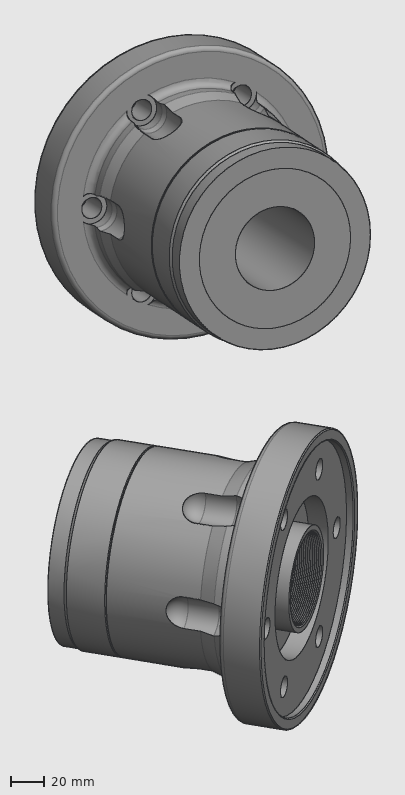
import cadquery as cq
import math

total_length = 145.5
cap_start = 108.2

flange_radius = 92.5
flange_thickness = 26.8
flange_front_chamfer = 0.7
flange_back_fillet = 3.0

recess_radius = 85.1
recess_depth = 5.0
recess_chamfer = 0.7

barrel_radius = 65.0
neck_radius = 67.7
neck_fillet = 5.0
neck_end = 38.3
neck_cone_end = 48.0
joint_chamfer = 0.5

bolt_count = 6
bolt_circle_radius = 66.6
bolt_hole_radius = 6.7
slot_entry_radius = 10.0
slot_radius = 11.1
slot_entry_end = 34.5
slot_taper_end = 38.8
slot_ball_center = 58.6

cap_nose_start = 135.0
cap_nose_radius = 63.8
cap_shoulder_length = 1.8

sleeve_radius = 50.5
sleeve_front = 2.0
sleeve_shoulder = 17.5
sleeve_neck_radius = 33.1
sleeve_bore_radius = 26.5

thread_minor_radius = 28.9
thread_major_radius = 30.0
thread_pitch = 1.18
thread_turns = 17
thread_end = sleeve_front + thread_pitch * thread_turns


def revolve_about_x(profile):
    """Turn a profile drawn as (x, radius) around the X axis."""
    return profile.close().revolve(360, (0, 0, 0), (1, 0, 0))


def disc(start, end, radius):
    """A cylinder on the X axis."""
    return cq.Workplane("YZ", origin=(start, 0, 0)).circle(radius).extrude(end - start)


def housing_blank():
    """Flange and barrel with the locating recess and the sleeve bore."""
    flange_setback = (1 - math.sqrt(0.5)) * flange_back_fillet
    neck_setback = (1 - math.sqrt(0.5)) * neck_fillet
    profile = (
        cq.Workplane("XY")
        .moveTo(recess_depth, sleeve_radius)
        .lineTo(recess_depth, recess_radius)
        .lineTo(recess_chamfer, recess_radius)
        .lineTo(0, recess_radius + recess_chamfer)
        .lineTo(0, flange_radius - flange_front_chamfer)
        .lineTo(flange_front_chamfer, flange_radius)
        .lineTo(flange_thickness - flange_back_fillet, flange_radius)
        .threePointArc(
            (flange_thickness - flange_setback, flange_radius - flange_setback),
            (flange_thickness, flange_radius - flange_back_fillet),
        )
        .lineTo(flange_thickness, neck_radius + neck_fillet)
        .threePointArc(
            (flange_thickness + neck_setback, neck_radius + neck_setback),
            (flange_thickness + neck_fillet, neck_radius),
        )
        .lineTo(neck_end, neck_radius)
        .lineTo(neck_cone_end, barrel_radius)
        .lineTo(cap_start - joint_chamfer, barrel_radius)
        .lineTo(cap_start, barrel_radius - joint_chamfer)
        .lineTo(cap_start, sleeve_radius)
    )
    return revolve_about_x(profile)


def bolt_cutter():
    """One bolt hole and its stepped, ball-ended slot, on the X axis."""
    ball_middle = slot_radius * math.sqrt(0.5)
    hole = disc(0, flange_thickness, bolt_hole_radius)
    slot = revolve_about_x(
        cq.Workplane("XY")
        .moveTo(flange_thickness, 0)
        .lineTo(flange_thickness, slot_entry_radius)
        .lineTo(slot_entry_end, slot_entry_radius)
        .lineTo(slot_taper_end, slot_radius)
        .lineTo(slot_ball_center, slot_radius)
        .threePointArc(
            (slot_ball_center + ball_middle, ball_middle),
            (slot_ball_center + slot_radius, 0),
        )
    )
    return hole.union(slot)


def make_housing():
    housing = housing_blank()
    cutter = bolt_cutter().translate((0, bolt_circle_radius, 0))
    for index in range(bolt_count):
        angle = index * 360 / bolt_count
        housing = housing.cut(cutter.rotate((0, 0, 0), (1, 0, 0), angle))
    return housing


def make_end_cap():
    """Ring on the end of the barrel, stepping down to a slightly smaller nose."""
    profile = (
        cq.Workplane("XY")
        .moveTo(cap_start, sleeve_radius)
        .lineTo(cap_start, barrel_radius - joint_chamfer)
        .lineTo(cap_start + joint_chamfer, barrel_radius)
        .lineTo(cap_nose_start - cap_shoulder_length, barrel_radius)
        .lineTo(cap_nose_start, cap_nose_radius)
        .lineTo(total_length, cap_nose_radius)
        .lineTo(total_length, sleeve_radius)
    )
    return revolve_about_x(profile)


def make_sleeve():
    """Sleeve through housing and cap, with a threaded neck at the flange end."""
    profile = (
        cq.Workplane("XY")
        .moveTo(sleeve_front, thread_major_radius)
        .lineTo(sleeve_front, sleeve_neck_radius)
        .lineTo(sleeve_shoulder, sleeve_neck_radius)
        .lineTo(sleeve_shoulder, sleeve_radius)
        .lineTo(total_length, sleeve_radius)
        .lineTo(total_length, sleeve_bore_radius)
        .lineTo(thread_end, sleeve_bore_radius)
        .lineTo(thread_end, thread_major_radius)
    )
    for turn in reversed(range(thread_turns)):
        root = sleeve_front + turn * thread_pitch
        profile = profile.lineTo(root + thread_pitch / 2, thread_minor_radius)
        if turn > 0:
            profile = profile.lineTo(root, thread_major_radius)
    return revolve_about_x(profile)


housing = make_housing()
end_cap = make_end_cap()
sleeve = make_sleeve()

result = cq.Compound.makeCompound([housing.val(), end_cap.val(), sleeve.val()])